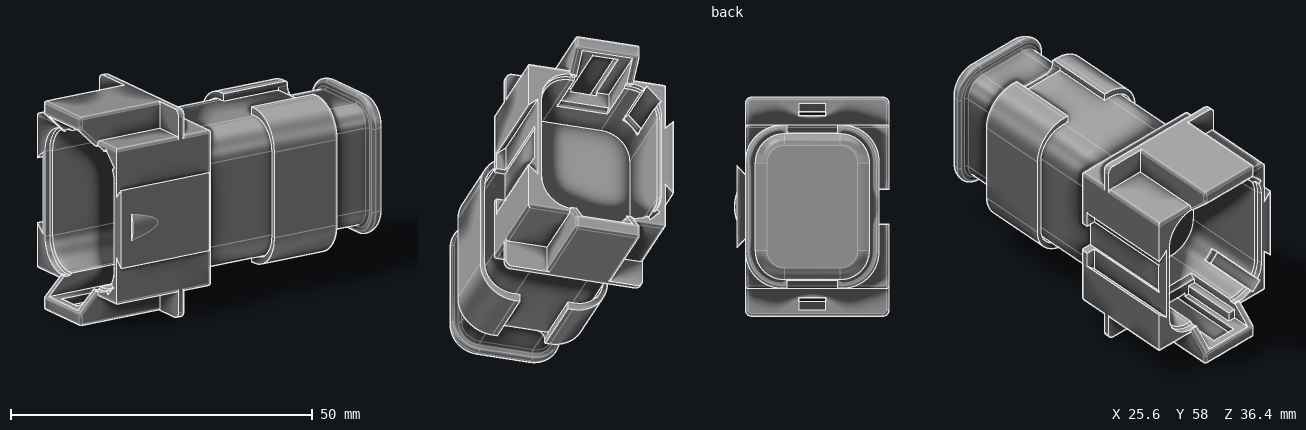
import cadquery as cq
import math


HOUSING_FRONT = 3.5
PLATE_FRONT = 15.8
PLATE_BACK = 17.1
CAVITY_FLOOR = 19.65
HOUSING_BACK = 22.35
COLLAR_FRONT = 34.85
BRIDGE_FRONT = 45.7
COLLAR_BACK = 47.5
FLANGE_FRONT = 55.5
LENGTH = 58.0

BODY = (9.88, 12.2, 4.9)
COLLAR = (11.06, 13.5, 6.05)
COLLAR_GAP = (10.3, BODY[1], BODY[2])
NECK = (7.88, 10.47, 3.3)
FLANGE = (9.46, 12.1, 4.85)
CAVITY = (10.07, 12.4, 5.0)

COLLAR_EDGE = 0.45
COLLAR_SLOT_HALF = 4.18
BRIDGE_RECESS_FLOOR = 11.1
BRIDGE_RECESS_RADIUS = 1.55
NECK_ROOT_RADIUS = 1.0
FLANGE_ROOT_RADIUS = 0.45
FLANGE_FRONT_RADIUS = 0.5
FLANGE_BACK_RADIUS = 1.95

HOUSING_LEFT = -12.72
HOUSING_RIGHT = 11.09
HOUSING_HALF_HEIGHT = 13.55
HOUSING_EDGE = 0.45
PLATE_HALF_HEIGHT = 18.18
PLATE_CORNER = 1.1
MOUTH_STEP = 0.35
MOUTH_DEPTH = 1.3

LUG_HALF_WIDTH = 5.53
LUG_TIP_INNER = 16.0
LUG_SLOPE_INNER = LUG_TIP_INNER - HOUSING_FRONT
LUG_EDGE = 0.4
POCKET_HALF_WIDTH = 4.37
POCKET_TOP = 15.7
POCKET_END = 13.25
POCKET_END_RADIUS = 0.75
WINDOW_HALF_WIDTH = 2.22
WINDOW_INNER = 15.1
WINDOW_OUTER = 17.1
WINDOW_FRONT = 1.45
RIB_INNER_X = 3.05
RIB_TOP = 13.95
RIB_FRONT = HOUSING_FRONT

DOVETAIL_START = 21.0
RAIL_HEIGHT = 1.41
RAIL_ROOT_HALF = 5.33
RAIL_TIP_HALF = 6.8
GROOVE_DEPTH = 1.67
GROOVE_MOUTH_HALF = 5.65
GROOVE_FLOOR_HALF = 7.1
RELIEF_HALF = 2.88
RELIEF_FRONT = 5.4
RELIEF_EXTRA_DEPTH = 0.3

BUMP_FRONT = 5.6
BUMP_BACK = 10.8
BUMP_HEIGHT = 0.41
BUMP_HALF_WIDTH = 2.3

KEYWAYS = [(14.58, 3.5, 1), (14.8, 2.25, -1)]
KEYWAY_ANGLE = 45
KEYWAY_WALL = 13.7
KEYWAY_END_RADIUS = 0.65

OVERLAP = 0.5


def box(x0, x1, y0, y1, z0, z1):
    """Axis-aligned block between two limits along each axis."""
    return cq.Workplane("XY").box(x1 - x0, y1 - y0, z1 - z0, centered=False).translate((x0, y0, z0))


def prism(section, y0, y1, grow=0.0):
    """Rounded rectangle running along Y, optionally grown all round."""
    half_x, half_z, radius = section
    block = box(-half_x - grow, half_x + grow, y0, y1, -half_z - grow, half_z + grow)
    return block.edges("|Y").fillet(radius + grow)


def both_sides(shape):
    """The shape and its mirror image below the XY plane."""
    return shape.union(shape.mirror("XY"))


def edges_at(y, half_x, half_z):
    """Selector for the edges lying at station y inside the given half width and half height."""
    slack = 0.1
    return cq.selectors.BoxSelector(
        (-half_x, y - slack, -half_z), (half_x, y + slack, half_z), boundingbox=True
    )


def wire_end():
    """Back wall of the collar, neck and end flange with rounded transitions."""
    flange = prism(FLANGE, FLANGE_FRONT, LENGTH)
    flange = flange.faces(">Y").edges().fillet(FLANGE_BACK_RADIUS)
    flange = flange.faces("<Y").edges().fillet(FLANGE_FRONT_RADIUS)
    part = prism(COLLAR, BRIDGE_FRONT, COLLAR_BACK)
    part = part.faces(">Y").edges().fillet(COLLAR_EDGE)
    part = part.union(prism(NECK, BRIDGE_FRONT, FLANGE_FRONT + OVERLAP)).union(flange)
    reach_x = NECK[0] + OVERLAP
    reach_z = NECK[1] + OVERLAP
    part = part.edges(edges_at(COLLAR_BACK, reach_x, reach_z)).fillet(NECK_ROOT_RADIUS)
    return part.edges(edges_at(FLANGE_FRONT, reach_x, reach_z)).fillet(FLANGE_ROOT_RADIUS)


def collar():
    """Sleeve around the body, open toward the front and slotted at top and bottom."""
    sleeve = prism(COLLAR, COLLAR_FRONT, BRIDGE_FRONT)
    return sleeve.cut(prism(COLLAR_GAP, COLLAR_FRONT - OVERLAP, BRIDGE_FRONT))


def collar_slot():
    """Slot that opens the collar above the body."""
    width = COLLAR_SLOT_HALF
    return both_sides(box(-width, width, COLLAR_FRONT, BRIDGE_FRONT, BODY[1], PLATE_HALF_HEIGHT))


def bridge_recess():
    """Round-bottomed recess through the back wall of the collar."""
    width = COLLAR_SLOT_HALF
    recess = box(-width, width, BRIDGE_FRONT, FLANGE_FRONT, BRIDGE_RECESS_FLOOR, PLATE_HALF_HEIGHT)
    return both_sides(recess.faces("<Z").edges("|Y").fillet(BRIDGE_RECESS_RADIUS))


def housing():
    """Rectangular housing block; only its upright front edges stay sharp."""
    height = HOUSING_HALF_HEIGHT
    block = box(HOUSING_LEFT, HOUSING_RIGHT, HOUSING_FRONT, HOUSING_BACK, -height, height)
    return block.edges("|Y or >Y or (<Y and |X)").fillet(HOUSING_EDGE)


def plate():
    """Plate across the housing, reaching up and down as far as the lugs."""
    height = PLATE_HALF_HEIGHT
    slab = box(HOUSING_LEFT, HOUSING_RIGHT, PLATE_FRONT, PLATE_BACK, -height, height)
    slab = slab.edges("|Y").fillet(PLATE_CORNER)
    return slab.faces(">Y").edges().fillet(HOUSING_EDGE)


def lug():
    """Upper latch lug: block above the housing with an undercut tip."""
    outline = [
        (0, LUG_TIP_INNER),
        (0, PLATE_HALF_HEIGHT),
        (PLATE_FRONT + OVERLAP, PLATE_HALF_HEIGHT),
        (PLATE_FRONT + OVERLAP, LUG_SLOPE_INNER),
        (HOUSING_FRONT, LUG_SLOPE_INNER),
    ]
    width = LUG_HALF_WIDTH
    block = cq.Workplane("YZ", origin=(-width, 0, 0)).polyline(outline).close().extrude(2 * width)
    undercut_edges = cq.selectors.ParallelDirSelector(cq.Vector(0, 1, -1))
    block = block.edges(undercut_edges).fillet(LUG_EDGE)
    return block.edges("(|Y and >Z) or (|X and <Y and >Z) or (|Z and <Y)").fillet(LUG_EDGE)


def lug_pocket():
    """Channel through lug and housing wall, with a rounded end and a window through the plate."""
    width = POCKET_HALF_WIDTH
    channel = box(-width, width, -OVERLAP, POCKET_END, 0, POCKET_TOP)
    window = box(-WINDOW_HALF_WIDTH, WINDOW_HALF_WIDTH, WINDOW_FRONT, PLATE_BACK + OVERLAP,
                 WINDOW_INNER, WINDOW_OUTER)
    radius = POCKET_END_RADIUS
    wall = CAVITY[1]
    corner = (
        cq.Workplane("YZ", origin=(-width, 0, 0))
        .moveTo(POCKET_END, wall - OVERLAP)
        .lineTo(POCKET_END + radius, wall - OVERLAP)
        .lineTo(POCKET_END + radius, wall)
        .radiusArc((POCKET_END, wall + radius), -radius)
        .close()
        .extrude(2 * width)
    )
    return both_sides(channel.union(window).union(corner))


def lug_rib():
    """Rib beside the window of the lower lug."""
    return box(RIB_INNER_X, POCKET_HALF_WIDTH + OVERLAP, RIB_FRONT, POCKET_END + OVERLAP,
               -POCKET_TOP - OVERLAP, -RIB_TOP)


def cavity():
    """Mating cavity with a slightly wider mouth that ends in a chamfer."""
    room = prism(CAVITY, HOUSING_FRONT, CAVITY_FLOOR)
    mouth = prism(CAVITY, HOUSING_FRONT, HOUSING_FRONT + MOUTH_DEPTH, MOUTH_STEP)
    return room.union(mouth.faces(">Y").chamfer(MOUTH_STEP))


def keyways():
    """Flat-bottomed keyways with rounded ends, cut diagonally into the +X corners of the cavity."""
    arc_x = CAVITY[0] - CAVITY[2]
    arc_z = CAVITY[1] - CAVITY[2]
    corner_offset = (arc_x - arc_z) / math.sqrt(2)
    corner_reach = (arc_x + arc_z) / math.sqrt(2) + CAVITY[2]
    root = corner_reach - OVERLAP
    front = HOUSING_FRONT - OVERLAP
    back = KEYWAY_WALL + KEYWAY_END_RADIUS
    cutters = cq.Workplane("XY")
    for reach, width, side in KEYWAYS:
        cutter = (
            cq.Workplane("YZ", origin=(corner_offset - width / 2, 0, 0))
            .moveTo(front, root)
            .lineTo(front, reach)
            .lineTo(KEYWAY_WALL, reach)
            .lineTo(KEYWAY_WALL, corner_reach + KEYWAY_END_RADIUS)
            .radiusArc((back, corner_reach), -KEYWAY_END_RADIUS)
            .lineTo(back, root)
            .close()
            .extrude(width)
            .rotate((0, 0, 0), (0, 1, 0), KEYWAY_ANGLE)
        )
        if side < 0:
            cutter = cutter.mirror("XY")
        cutters = cutters.union(cutter)
    return cutters


def dovetail(x_root, x_tip, root_half, tip_half):
    """Dovetail bar along Y, from the housing front to the closed end of the joint."""
    outline = [(x_root, -root_half), (x_tip, -tip_half), (x_tip, tip_half), (x_root, root_half)]
    front_plane = cq.Workplane("XZ", origin=(0, HOUSING_FRONT, 0))
    return front_plane.polyline(outline).close().extrude(HOUSING_FRONT - DOVETAIL_START)


def bump():
    """Detent on the rail: a shallow cylinder tilted to rise toward the front."""
    base = HOUSING_RIGHT + RAIL_HEIGHT
    radius = (BUMP_HALF_WIDTH**2 + BUMP_HEIGHT**2) / (2 * BUMP_HEIGHT)
    length = BUMP_BACK - BUMP_FRONT
    slope = math.degrees(math.atan2(BUMP_HEIGHT, length))
    pivot = (base, BUMP_BACK, 0)
    barrel = (
        cq.Workplane("XZ", origin=(base - radius, BUMP_BACK + OVERLAP, 0))
        .circle(radius)
        .extrude(length + 2 * OVERLAP)
        .rotate(pivot, (pivot[0], pivot[1], 1), slope)
    )
    top = base + BUMP_HEIGHT + OVERLAP
    keep = box(base - OVERLAP, top, BUMP_FRONT, BUMP_BACK, -BUMP_HALF_WIDTH, BUMP_HALF_WIDTH)
    return barrel.intersect(keep)


def groove():
    """Dovetail groove on the -X side with a deeper relief slot along its middle."""
    floor = HOUSING_LEFT + GROOVE_DEPTH
    cutter = dovetail(HOUSING_LEFT, floor, GROOVE_MOUTH_HALF, GROOVE_FLOOR_HALF)
    channel = box(HOUSING_LEFT - OVERLAP, floor + RELIEF_EXTRA_DEPTH, RELIEF_FRONT, HOUSING_BACK + OVERLAP,
                  -RELIEF_HALF, RELIEF_HALF)
    return cutter.union(channel)


def assemble():
    """Join the solids from the wire end to the lugs, then cut the openings."""
    part = wire_end().union(collar())
    part = part.union(prism(BODY, HOUSING_BACK - OVERLAP, COLLAR_BACK - OVERLAP))
    part = part.cut(collar_slot()).cut(bridge_recess())
    part = part.union(housing()).union(plate()).union(both_sides(lug()))
    part = part.union(dovetail(HOUSING_RIGHT, HOUSING_RIGHT + RAIL_HEIGHT, RAIL_ROOT_HALF, RAIL_TIP_HALF))
    part = part.union(bump())
    part = part.cut(groove()).cut(cavity()).cut(keyways()).cut(lug_pocket())
    return part.union(lug_rib())


result = assemble()